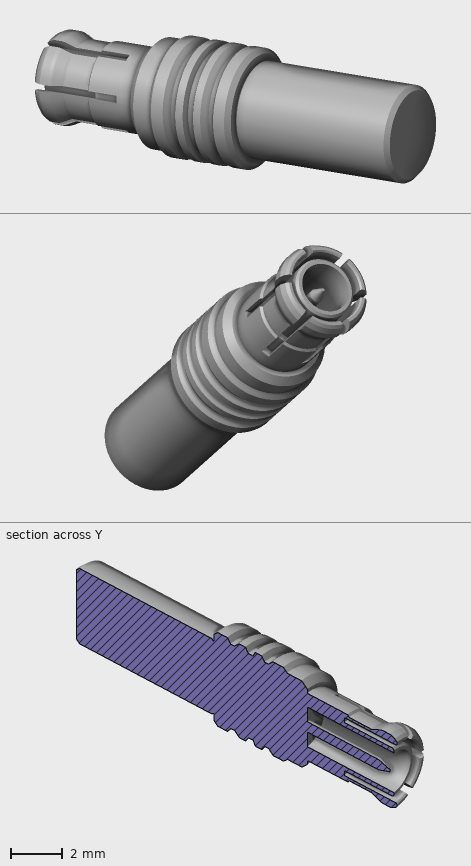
import cadquery as cq

TIP_RADIUS = 1.65
TIP_CHAMFER = 0.11
BULB_RADIUS = 1.87
BULB_FLAT_START = 0.35
BULB_FLAT_END = 0.7
BULB_FLANK_START = 0.89
BULB_FLANK_RADIUS = 1.82
NECK_START = 1.29
NECK_RADIUS = 1.63
NECK_END = 2.4
ROOT_START = 2.48
ROOT_RADIUS = 1.72

GAP_OUTER_RADIUS = 1.47
GAP_DEPTH = 2.64
LIP_BEVEL = 0.06
SLEEVE_RADIUS = 1.24
SLEEVE_START = 0.15
SLEEVE_CHAMFER = 0.1
BORE_RADIUS = 1.0
PIN_RADIUS = 0.27
PIN_TIP_RADIUS = 0.06
PIN_TIP_START = 0.35
PIN_CONE_LENGTH = 0.58

SLOT_COUNT = 6
SLOT_WIDTH = 0.34
SLOT_LENGTH = 3.74
SLOT_FLOOR_RADIUS = GAP_OUTER_RADIUS

BODY_START = 4.49
BORE_DEPTH = BODY_START
BODY_END = 9.2
SHOULDER_RADIUS = 2.2
SHOULDER_CHAMFER = 0.29
GRIP_START = 5.5
GRIP_RADIUS = 2.4
GRIP_CHAMFER = GRIP_RADIUS - SHOULDER_RADIUS
GROOVE_RADIUS = 2.15
GROOVES = [
    (6.23, 6.45, 6.63, 6.8),
    (7.13, 7.23, 7.45, 7.6),
    (7.92, 8.16, 8.34, 8.5),
]

TOTAL_LENGTH = 16.1
BARREL_RADIUS = 1.93
BARREL_FRONT_CHAMFER = 0.1
BARREL_REAR_CHAMFER = 0.18


def cylinder(radius, start, end):
    """Solid cylinder on the X axis between two stations."""
    return cq.Workplane("YZ", origin=(start, 0, 0)).circle(radius).extrude(end - start)


def ring(outer_radius, inner_radius, start, end):
    """Tube on the X axis between two stations."""
    return cylinder(outer_radius, start, end).cut(cylinder(inner_radius, start, end))


def revolve_profile(profile):
    """Spin a closed (x, radius) outline about the X axis."""
    return profile.close().revolve(360, (0, 0, 0), (1, 0, 0))


def outer_shape():
    """Collet, grip body and barrel as one solid of revolution."""
    profile = (
        cq.Workplane("XY")
        .lineTo(0, TIP_RADIUS)
        .lineTo(TIP_CHAMFER, TIP_RADIUS + TIP_CHAMFER)
        .lineTo(BULB_FLAT_START, BULB_RADIUS)
        .lineTo(BULB_FLAT_END, BULB_RADIUS)
        .tangentArcPoint((BULB_FLANK_START, BULB_FLANK_RADIUS), relative=False)
        .lineTo(NECK_START, NECK_RADIUS)
        .lineTo(NECK_END, NECK_RADIUS)
        .lineTo(ROOT_START, ROOT_RADIUS)
        .lineTo(BODY_START, ROOT_RADIUS)
        .lineTo(BODY_START, SHOULDER_RADIUS - SHOULDER_CHAMFER)
        .lineTo(BODY_START + SHOULDER_CHAMFER, SHOULDER_RADIUS)
        .lineTo(GRIP_START, SHOULDER_RADIUS)
        .lineTo(GRIP_START + GRIP_CHAMFER, GRIP_RADIUS)
    )
    for rim_start, floor_start, floor_end, rim_end in GROOVES:
        profile = (
            profile.lineTo(rim_start, GRIP_RADIUS)
            .lineTo(floor_start, GROOVE_RADIUS)
            .lineTo(floor_end, GROOVE_RADIUS)
            .lineTo(rim_end, GRIP_RADIUS)
        )
    profile = (
        profile.lineTo(BODY_END - GRIP_CHAMFER, GRIP_RADIUS)
        .lineTo(BODY_END, SHOULDER_RADIUS)
        .lineTo(BODY_END, BARREL_RADIUS - BARREL_FRONT_CHAMFER)
        .lineTo(BODY_END + BARREL_FRONT_CHAMFER, BARREL_RADIUS)
        .lineTo(TOTAL_LENGTH - BARREL_REAR_CHAMFER, BARREL_RADIUS)
        .lineTo(TOTAL_LENGTH, BARREL_RADIUS - BARREL_REAR_CHAMFER)
        .lineTo(TOTAL_LENGTH, 0)
    )
    return revolve_profile(profile)


def slots():
    """Radial slots that divide the collet into spring fingers."""
    slot = cq.Workplane("XY").box(
        SLOT_LENGTH, BULB_RADIUS + 0.16, SLOT_WIDTH, centered=(False, False, True)
    )
    cutter = cq.Workplane("XY")
    for index in range(SLOT_COUNT):
        cutter = cutter.add(slot.rotate((0, 0, 0), (1, 0, 0), index * 360 / SLOT_COUNT))
    return cutter.combine().cut(cylinder(SLOT_FLOOR_RADIUS, 0, SLOT_LENGTH))


def lip_bevel():
    """Cone that bevels the inner front edge of the collet lip."""
    profile = (
        cq.Workplane("XY")
        .lineTo(0, GAP_OUTER_RADIUS + LIP_BEVEL)
        .lineTo(LIP_BEVEL, GAP_OUTER_RADIUS)
        .lineTo(LIP_BEVEL, 0)
    )
    return revolve_profile(profile)


def sleeve_chamfer():
    """Triangular ring that bevels the outer front edge of the sleeve."""
    profile = (
        cq.Workplane("XY")
        .moveTo(SLEEVE_START, SLEEVE_RADIUS - SLEEVE_CHAMFER)
        .lineTo(SLEEVE_START, SLEEVE_RADIUS)
        .lineTo(SLEEVE_START + SLEEVE_CHAMFER, SLEEVE_RADIUS)
    )
    return revolve_profile(profile)


def pin():
    """Pointed centre contact standing on the floor of the bore."""
    cone_end = PIN_TIP_START + PIN_CONE_LENGTH
    profile = (
        cq.Workplane("XY")
        .moveTo(PIN_TIP_START, 0)
        .lineTo(PIN_TIP_START, PIN_TIP_RADIUS)
        .lineTo(cone_end, PIN_RADIUS)
        .lineTo(BORE_DEPTH, PIN_RADIUS)
        .lineTo(BORE_DEPTH, 0)
    )
    return revolve_profile(profile)


result = (
    outer_shape()
    .cut(ring(GAP_OUTER_RADIUS, SLEEVE_RADIUS, 0, GAP_DEPTH))
    .cut(cylinder(GAP_OUTER_RADIUS, 0, SLEEVE_START))
    .cut(lip_bevel())
    .cut(sleeve_chamfer())
    .cut(cylinder(BORE_RADIUS, 0, BORE_DEPTH))
    .cut(slots())
    .union(pin())
)